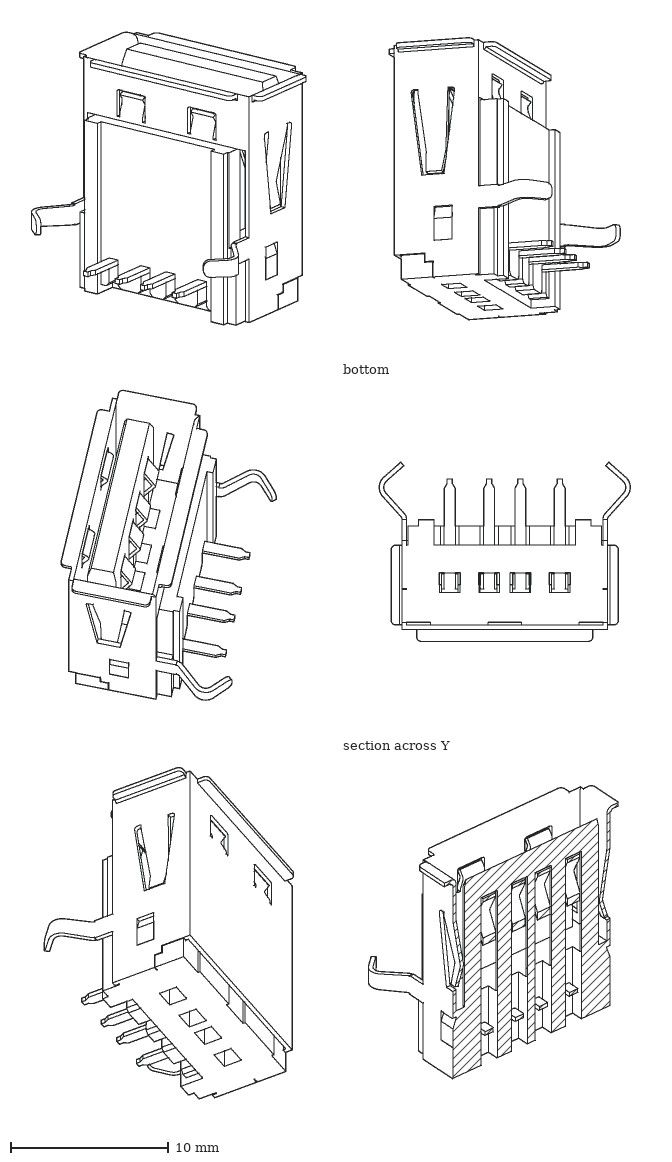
import cadquery as cq
import math


SHEET = 0.3
SHELL_W = 13.1
SHELL_D = 5.7
HEIGHT = 15.26
INNER_X = SHELL_W / 2 - SHEET
INNER_BACK = SHELL_D - SHEET

BEND_INNER = 0.16
BEND_OUTER = BEND_INNER + SHEET
LIP_CORNER = 0.3
FRONT_LIP_W = 11.23
FRONT_LIP_REACH = 0.75
SIDE_LIP_W = SHELL_D - 2 * SHEET
SIDE_LIP_REACH = 0.69

BLOCK_TOP = 11.52
BLOCK_SIDE_GAP = 0.08
BLOCK_HALF_W = INNER_X - BLOCK_SIDE_GAP
UPPER_BLOCK_W = FRONT_LIP_W
BACK_WALL_BOTTOM = 1.6
STEP_Y = 3.62
STEP_Z = 1.04
NOTCH_Y = 3.07
FIT_GAP = 0.05

LATCH_Y = (1.8, 3.02)
LATCH_Z = (2.38, 4.6)
LATCH_SLOPE_Z = 3.8
LATCH_RECESS = 0.02

SPRING_Y = 3.09
SPRING_TOP_Z = 12.08
SPRING_PEAK_Z = 8.34
SPRING_TIP_Z = 6.9
SPRING_PEAK_X = 5.62
SPRING_TIP_X = 6.06
SPRING_TOP_HALF_W = 1.0
SPRING_TIP_HALF_W = 0.5
SPRING_TOP_RADIUS = 1.28
SPRING_PEAK_RADIUS = 0.16
SLOT_TOP_Z = 12.29
SLOT_BOTTOM_Z = 6.69
SLOT_TOP_HALF_W = 1.49
SLOT_BOTTOM_HALF_W = 0.75
SLOT_TOP_RADIUS = 0.2

TAB_X = 2.8
TAB_W = 1.8
TAB_BEND_Z = 11.94
TAB_CREST_Z = 12.9
TAB_TIP_Z = 13.33
TAB_BEND_RADIUS = 0.16
WINDOW_W = 2.24
WINDOW_Z = (11.76, 13.57)
WINDOW_RADIUS = 0.16
FRONT_TAB_REACH = 0.3
BACK_TAB_REACH = 0.46

FLOOR_Z = 5.09
BODY_BACK = 5.23
BLOCK_FRONT = -0.91
RIB_FRONT = -1.31
RIB_X = (4.5, 5.5)
BACK_RIB_X = 2.9
BACK_RIB_W = 3.68
BACK_RIB_TOP = 4.8
TONGUE_X = 5.58
TONGUE_Y = (2.82, 4.69)
TONGUE_TOP = 15.14
TONGUE_CHAMFER = 0.2
TONGUE_CHAMFER_H = 0.93

OUTER_PIN_X = 3.5
INNER_PIN_X = 1.0
INNER_CONTACT_X = 1.04
PIN_X = (-OUTER_PIN_X, -INNER_PIN_X, INNER_PIN_X, OUTER_PIN_X)
CONTACT_X = (-OUTER_PIN_X, -INNER_CONTACT_X, INNER_CONTACT_X, OUTER_PIN_X)
PIN_W = 0.7
PIN_TIP_W = 0.35
PIN_Z = (2.15, 2.46)
PIN_TAPER_Y = (-3.31, -3.62)
PIN_TIP_Y = -3.9
CONTACT_W = 1.07
CONTACT_T = 0.24
CONTACT_SLOT_W = 1.31
CONTACT_SLOT_FRONT = 2.08
CONTACT_SLOT_BACK = 3.33
CONTACT_SLOT_TOP = 12.8
CONTACT_TOP_GAP = 0.1
CONTACT_TOP_Y = 2.95
CONTACT_CREST_Y = 2.2
CONTACT_CREST_Z = 11.1
CONTACT_LEG_Z = 8.8
CONTACT_RADIUS = 0.16
COMB_BOTTOM = 0.55
COMB_CHAMFER = 0.24
COMB_BACK = SHEET

OVERALL_W = 16.0
CLIP_ROOT_Z = (4.29, 5.73)
CLIP_MID_Z = sum(CLIP_ROOT_Z) / 2
CLIP_SHOULDER_Y = -1.31
CLIP_BEND_Y = -1.49
CLIP_TIP_Y = -4.86
CLIP_OUT_ANGLE = 48.0
CLIP_RETURN_ANGLE = 41.5
CLIP_SHOULDER_RADIUS = 0.2
CLIP_BOW_RADIUS = 0.56
CLIP_ROOT_HALF_W = 0.65
CLIP_TIP_HALF_W = 0.53
CLIP_TIP_RADIUS = 0.42


def block(x_range, y_range, z_range):
    """Box between the given limits on each axis."""
    (x0, x1), (y0, y1), (z0, z1) = x_range, y_range, z_range
    return cq.Workplane("XY").box(x1 - x0, y1 - y0, z1 - z0, centered=False).translate((x0, y0, z0))


def centred(width):
    return (-width / 2, width / 2)


def prism(plane, points, half_length):
    """Polygon on a named plane, extruded equally to both sides of it."""
    return cq.Workplane(plane).polyline(points).close().extrude(half_length, both=True)


def mirrored_pair(shape):
    return shape.union(shape.mirror("YZ"))


def mitre_points(path, thickness):
    """Left and right edge points of a strip centred on a bent path."""
    headings = [math.atan2(b[1] - a[1], b[0] - a[0]) for a, b in zip(path, path[1:])]
    left, right = [], []
    for i, (u, v) in enumerate(path):
        before = headings[max(i - 1, 0)]
        after = headings[min(i, len(headings) - 1)]
        turn = math.remainder(after - before, 2 * math.pi)
        normal = before + turn / 2 + math.pi / 2
        offset = thickness / 2 / math.cos(turn / 2)
        du, dv = offset * math.cos(normal), offset * math.sin(normal)
        left.append((u + du, v + dv))
        right.append((u - du, v - dv))
    return left, right


def turns_left(a, b, c):
    return (b[0] - a[0]) * (c[1] - b[1]) > (b[1] - a[1]) * (c[0] - b[0])


def bent_strip(plane, path, thickness, half_length, radii):
    """Sheet strip following a path on a plane, with an inside radius for each bend."""
    left, right = mitre_points(path, thickness)
    strip = prism(plane, left + right[::-1], half_length)
    frame = cq.Plane.named(plane)
    for i, radius in enumerate(radii, start=1):
        inside, outside = right[i], left[i]
        if turns_left(*path[i - 1 : i + 2]):
            inside, outside = outside, inside
        for corner, corner_radius in ((inside, radius), (outside, radius + thickness)):
            bend = cq.selectors.NearestToPointSelector(frame.toWorldCoords(corner).toTuple())
            strip = strip.edges(bend).fillet(corner_radius)
    return strip


def lip(width, reach, bend):
    """Lip pointing to -Y from a wall face at Y = 0, flush with the mouth."""
    under = HEIGHT - SHEET
    profile = cq.Workplane("YZ").moveTo(SHEET, HEIGHT).lineTo(-reach, HEIGHT).lineTo(-reach, under)
    if bend > 0:
        profile = profile.lineTo(-bend, under).radiusArc((0, under - bend), -bend)
        profile = profile.lineTo(SHEET, under - bend)
    else:
        profile = profile.lineTo(SHEET, under)
    return profile.close().extrude(width / 2, both=True).faces("<Y").edges("|Z").fillet(LIP_CORNER)


def shell_walls():
    """Rectangular tube with its front and side walls rolled outwards at the mouth."""
    envelope = block(centred(SHELL_W), (0, SHELL_D), (0, HEIGHT))
    envelope = envelope.union(lip(FRONT_LIP_W, FRONT_LIP_REACH, BEND_INNER))
    back_lip = lip(FRONT_LIP_W, FRONT_LIP_REACH, 0)
    envelope = envelope.union(back_lip.rotate((0, 0, 0), (0, 0, 1), 180).translate((0, SHELL_D, 0)))
    side_lip = lip(SIDE_LIP_W, SIDE_LIP_REACH, BEND_INNER).rotate((0, 0, 0), (0, 0, 1), -90)
    envelope = envelope.union(mirrored_pair(side_lip.translate((-SHELL_W / 2, SHELL_D / 2, 0))))

    blank = block(centred(2 * SHELL_W), (-SHELL_D, 2 * SHELL_D), (0, HEIGHT))
    blank = blank.cut(block(centred(2 * INNER_X), (SHEET, INNER_BACK), (0, HEIGHT)))
    lower_corner = (-SHELL_W / 2, 0, HEIGHT - SHEET)
    upper_corner = (SHELL_W / 2, INNER_BACK - SHEET, HEIGHT + SHEET)
    mouth_edges = cq.selectors.BoxSelector(lower_corner, upper_corner)
    blank = blank.edges(mouth_edges).fillet(BEND_OUTER)
    return envelope.intersect(blank)


def notch_cutter(gap):
    """Stepped corner at the lower back, shrunk by a gap towards the shell."""
    top = BACK_WALL_BOTTOM - gap
    points = [
        (SHELL_D, 0),
        (NOTCH_Y + gap, 0),
        (NOTCH_Y + gap, STEP_Z - gap),
        (STEP_Y + gap, STEP_Z - gap),
        (STEP_Y + gap, top),
        (SHELL_D, top),
    ]
    return prism("YZ", points, SHELL_W / 2)


def side_slot():
    """Tapered opening through both side walls around the springs."""
    points = [
        (SPRING_Y - SLOT_BOTTOM_HALF_W, SLOT_BOTTOM_Z),
        (SPRING_Y + SLOT_BOTTOM_HALF_W, SLOT_BOTTOM_Z),
        (SPRING_Y + SLOT_TOP_HALF_W, SLOT_TOP_Z),
        (SPRING_Y - SLOT_TOP_HALF_W, SLOT_TOP_Z),
    ]
    return prism("YZ", points, SHELL_W).faces(">Z").edges("|X").fillet(SLOT_TOP_RADIUS)


def side_springs():
    """Springs hanging from the slot tops, bent inwards and back out at the tip."""
    half = SHEET / 2
    path = [
        (-INNER_X - half, SLOT_TOP_Z + SHEET),
        (-INNER_X - half, SPRING_TOP_Z),
        (-SPRING_PEAK_X - half, SPRING_PEAK_Z),
        (-SPRING_TIP_X - half, SPRING_TIP_Z),
    ]
    spring = bent_strip("XZ", path, SHEET, SHELL_D, (SPRING_TOP_RADIUS, SPRING_PEAK_RADIUS))
    taper = [
        (SPRING_Y - SPRING_TIP_HALF_W, SPRING_TIP_Z - SHEET),
        (SPRING_Y + SPRING_TIP_HALF_W, SPRING_TIP_Z - SHEET),
        (SPRING_Y + SPRING_TOP_HALF_W, SPRING_TOP_Z),
        (SPRING_Y + SPRING_TOP_HALF_W, HEIGHT),
        (SPRING_Y - SPRING_TOP_HALF_W, HEIGHT),
        (SPRING_Y - SPRING_TOP_HALF_W, SPRING_TOP_Z),
    ]
    return mirrored_pair(spring.intersect(prism("YZ", taper, SHELL_W)))


def tab_windows():
    """Windows for the retention tabs, through the front and back walls."""
    cutter = block(centred(WINDOW_W), (0, SHELL_D), WINDOW_Z).faces(">Z").edges("|Y").fillet(WINDOW_RADIUS)
    return mirrored_pair(cutter.translate((-TAB_X, 0, 0)))


def wall_tabs(wall_mid, inward, reach):
    """Pair of tabs rising from the lower window edge and arched into the cavity."""
    path = [
        (wall_mid, WINDOW_Z[0] - SHEET),
        (wall_mid, TAB_BEND_Z),
        (wall_mid + inward * reach, TAB_CREST_Z),
        (wall_mid, TAB_TIP_Z),
    ]
    tab = bent_strip("YZ", path, SHEET, TAB_W / 2, (TAB_BEND_RADIUS, TAB_BEND_RADIUS))
    return mirrored_pair(tab.translate((-TAB_X, 0, 0)))


def board_clips():
    """Spring legs continuing the side walls to the front, bowed outwards."""
    out = math.radians(CLIP_OUT_ANGLE)
    back = math.radians(CLIP_RETURN_ANGLE)
    mid_radius = CLIP_BOW_RADIUS + SHEET / 2
    start_x = -INNER_X - SHEET / 2
    bow_depth = mid_radius * (math.cos((out - back) / 2) / math.sin((out + back) / 2) - 1)
    apex_x = -(OVERALL_W - SHEET) / 2 - bow_depth
    apex_y = CLIP_BEND_Y - (start_x - apex_x) * math.tan(out)
    tip_x = apex_x + (apex_y - CLIP_TIP_Y) / math.tan(back)
    path = [(start_x, SHEET), (start_x, CLIP_BEND_Y), (apex_x, apex_y), (tip_x, CLIP_TIP_Y)]
    clip = bent_strip("XY", path, SHEET, HEIGHT, (CLIP_SHOULDER_RADIUS, CLIP_BOW_RADIUS))
    end_y = CLIP_TIP_Y - SHEET
    taper = [
        (SHEET, CLIP_ROOT_Z[0]),
        (CLIP_SHOULDER_Y, CLIP_ROOT_Z[0]),
        (CLIP_SHOULDER_Y, CLIP_MID_Z - CLIP_ROOT_HALF_W),
        (end_y, CLIP_MID_Z - CLIP_TIP_HALF_W),
        (end_y, CLIP_MID_Z + CLIP_TIP_HALF_W),
        (CLIP_SHOULDER_Y, CLIP_MID_Z + CLIP_ROOT_HALF_W),
        (CLIP_SHOULDER_Y, CLIP_ROOT_Z[1]),
        (SHEET, CLIP_ROOT_Z[1]),
    ]
    clip = clip.intersect(prism("YZ", taper, OVERALL_W))
    for side in (-1, 1):
        corner = (tip_x, CLIP_TIP_Y, CLIP_MID_Z + side * CLIP_TIP_HALF_W)
        clip = clip.edges(cq.selectors.NearestToPointSelector(corner)).fillet(CLIP_TIP_RADIUS)
    return mirrored_pair(clip)


def shell():
    walls = shell_walls()
    walls = walls.cut(block(centred(2 * INNER_X), (0, SHEET), (0, BLOCK_TOP)))
    walls = walls.cut(notch_cutter(0))
    walls = walls.cut(block(centred(SHELL_W), LATCH_Y, LATCH_Z))
    walls = walls.cut(side_slot()).cut(tab_windows())
    walls = walls.union(side_springs())
    walls = walls.union(wall_tabs(SHEET / 2, 1, FRONT_TAB_REACH))
    walls = walls.union(wall_tabs(SHELL_D - SHEET / 2, -1, BACK_TAB_REACH))
    return walls.union(board_clips())


def tongue():
    """Tongue with a sloped lead-in around its top."""
    depth = TONGUE_Y[1] - TONGUE_Y[0]
    body = block((-TONGUE_X, TONGUE_X), TONGUE_Y, (0, TONGUE_TOP - TONGUE_CHAMFER_H))
    taper = math.degrees(math.atan(TONGUE_CHAMFER / TONGUE_CHAMFER_H))
    lead_in = body.faces(">Z").workplane(centerOption="CenterOfBoundBox").rect(2 * TONGUE_X, depth)
    return body.union(lead_in.extrude(TONGUE_CHAMFER_H, taper=taper, combine=False))


def comb_recess():
    """Pin slots with flared lower ends, joined by a recess along the bottom."""
    recess = block((-RIB_X[0], RIB_X[0]), (BLOCK_FRONT, COMB_BACK), (0, COMB_BOTTOM))
    half = PIN_W / 2
    flare = half + COMB_CHAMFER
    for x in PIN_X:
        points = [
            (x - half, PIN_Z[1]),
            (x - half, COMB_BOTTOM + COMB_CHAMFER),
            (x - flare, COMB_BOTTOM),
            (x + flare, COMB_BOTTOM),
            (x + half, COMB_BOTTOM + COMB_CHAMFER),
            (x + half, PIN_Z[1]),
        ]
        slot = cq.Workplane("XZ").polyline(points).close().extrude(COMB_BACK - BLOCK_FRONT)
        recess = recess.union(slot.translate((0, COMB_BACK, 0)))
    return recess


def latches():
    """Bumps in the shell side windows, sloped on top."""
    outer = SHELL_W / 2 - LATCH_RECESS
    points = [
        (INNER_X, LATCH_Z[0]),
        (outer, LATCH_Z[0]),
        (outer, LATCH_SLOPE_Z),
        (INNER_X, LATCH_Z[1]),
    ]
    half_length = (LATCH_Y[1] - LATCH_Y[0]) / 2
    latch = prism("XZ", points, half_length).translate((0, sum(LATCH_Y) / 2, 0))
    return mirrored_pair(latch)


def insulator():
    body = block(centred(2 * INNER_X), (SHEET, BODY_BACK), (0, FLOOR_Z))
    body = body.union(block(centred(2 * BLOCK_HALF_W), (BLOCK_FRONT, SHEET), (0, FLOOR_Z)))
    body = body.union(block(centred(UPPER_BLOCK_W), (BLOCK_FRONT, SHEET), (0, BLOCK_TOP)))
    body = body.union(mirrored_pair(block(RIB_X, (RIB_FRONT, BLOCK_FRONT), (0, BLOCK_TOP))))
    lower_back = block(centred(SHELL_W), (NOTCH_Y, BODY_BACK), (0, FLOOR_Z))
    body = body.union(notch_cutter(FIT_GAP).intersect(lower_back))
    back_rib = block(centred(BACK_RIB_W), (BODY_BACK, INNER_BACK), (0, BACK_RIB_TOP))
    body = body.union(mirrored_pair(back_rib.translate((BACK_RIB_X, 0, 0))))
    body = body.union(latches()).union(tongue()).cut(comb_recess())
    for x in PIN_X:
        slot_y = (CONTACT_SLOT_FRONT, CONTACT_SLOT_BACK)
        slot = block(centred(CONTACT_SLOT_W), slot_y, (0, CONTACT_SLOT_TOP))
        body = body.cut(slot.translate((x, 0, 0)))
    return body


def contact(pin_x, blade_x):
    """Contact blade bowed out of the tongue, with its solder pin to the front."""
    rear_y = CONTACT_SLOT_BACK - CONTACT_T / 2
    top_z = CONTACT_SLOT_TOP - CONTACT_TOP_GAP
    path = [
        (CONTACT_TOP_Y, top_z),
        (CONTACT_CREST_Y, CONTACT_CREST_Z),
        (rear_y, CONTACT_LEG_Z),
        (rear_y, PIN_Z[0]),
    ]
    radii = (CONTACT_RADIUS, CONTACT_RADIUS)
    blade = bent_strip("YZ", path, CONTACT_T, CONTACT_W / 2, radii).translate((blade_x, 0, 0))
    half = PIN_W / 2
    tip = PIN_TIP_W / 2
    outline = [
        (-half, CONTACT_SLOT_BACK),
        (-half, PIN_TAPER_Y[0]),
        (-tip, PIN_TAPER_Y[1]),
        (-tip, PIN_TIP_Y),
        (tip, PIN_TIP_Y),
        (tip, PIN_TAPER_Y[1]),
        (half, PIN_TAPER_Y[0]),
        (half, CONTACT_SLOT_BACK),
    ]
    pin = cq.Workplane("XY").polyline(outline).close().extrude(PIN_Z[1] - PIN_Z[0])
    return blade.union(pin.translate((pin_x, 0, PIN_Z[0])))


result = shell().union(insulator())
for pin_x, blade_x in zip(PIN_X, CONTACT_X):
    result = result.union(contact(pin_x, blade_x))